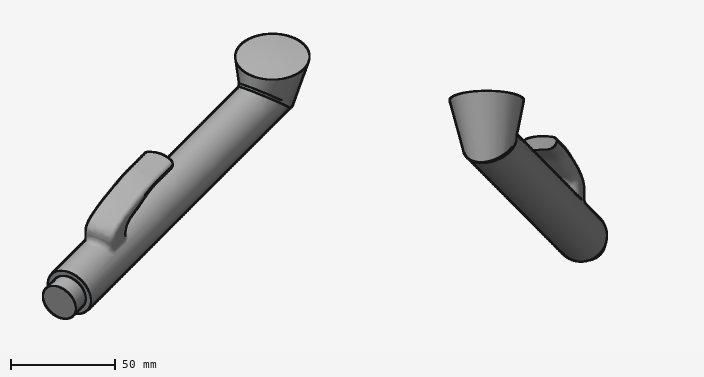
import cadquery as cq
import math

overall_length = 212.35

plug_radius = 18.63 / 2
plug_length = 9.1
bevel_end_radius = 24.4 / 2
bevel_length = 2.0
handle_radius = 24.8 / 2
handle_end_y = 75.6
tube_head_radius = 12.5

joint_y = 187.0
band_depth = 2.05
band_rise = 1.25
band_half_width = 12.8
rim_radius = 35.76 / 2
rim_y = overall_length - rim_radius
rim_z = 19.9
dome_height = 1.1

lever_top = 28.39
lever_half_width = 8.2
lever_crown = 0.7
lever_heel_y = 35.2
lever_heel_z = 15.8
lever_throat_y = 50.5
lever_throat_z = 12.5
lever_root_z = 4.0
back_slope_y = 58.7
back_slope_z = 26.7
back_shoulder_y = 41.6
back_shoulder_z = 22.8
under_bend_y = 56.5
under_bend_z = 17.7
under_slope_y = 66.6
under_slope_z = 20.5
lever_back_flat_y = 75.0
lever_under_flat_y = 78.0
tip_y = 93.0
tip_thickness = 6.2
tip_slant = 2.0
tip_bulge = 2.2
back_fillet = 2.0
under_fillet = 5.0
root_fillet = 2.65

tolerance = 0.01


def make_handle():
    """Round plug, bevelled end and tube, cut off by the 45 degree joint plane."""
    tube_end_y = joint_y + tube_head_radius
    handle = (
        cq.Workplane("XY")
        .lineTo(plug_radius, 0)
        .lineTo(plug_radius, plug_length)
        .lineTo(bevel_end_radius, plug_length)
        .lineTo(handle_radius, plug_length + bevel_length)
        .lineTo(handle_radius, handle_end_y)
        .lineTo(tube_head_radius, tube_end_y)
        .lineTo(0, tube_end_y)
        .close()
        .revolve(360, (0, 0, 0), (0, 1, 0))
    )
    reach = 2 * tube_head_radius
    beyond_joint = (
        cq.Workplane("YZ")
        .moveTo(joint_y - reach, reach)
        .lineTo(joint_y + reach, -reach)
        .lineTo(joint_y + reach, reach)
        .close()
        .extrude(reach, both=True)
    )
    return handle.cut(beyond_joint)


def tilted_ellipse(centre_y, centre_z, half_rise, half_width):
    """Ellipse on a 45 degree plane, its long axis down the slope and spanning +-half_rise in Z."""
    return cq.Wire.makeEllipse(
        half_rise * math.sqrt(2),
        half_width,
        cq.Vector(0, centre_y, centre_z),
        cq.Vector(0, 1, 1),
        cq.Vector(0, -1, 1),
        rotation_angle=0,
    )


def make_dome():
    """Shallow spherical cap closing the rim."""
    dome_radius = (rim_radius**2 + dome_height**2) / (2 * dome_height)
    return (
        cq.Workplane("XZ")
        .lineTo(rim_radius, 0)
        .radiusArc((0, dome_height), -dome_radius)
        .close()
        .revolve(360, (0, 0, 0), (0, 1, 0))
        .translate((0, rim_y, rim_z))
    )


def make_head():
    """Flared joint band, funnel body up to the round rim, and dome."""
    joint = tilted_ellipse(joint_y, 0, tube_head_radius, tube_head_radius)
    band_shift = band_rise / 2
    band_edge = tilted_ellipse(
        joint_y + band_depth - band_shift,
        band_shift,
        tube_head_radius + band_shift,
        band_half_width,
    )
    rim = cq.Wire.makeEllipse(
        rim_radius,
        rim_radius,
        cq.Vector(0, rim_y, rim_z),
        cq.Vector(0, 0, 1),
        cq.Vector(0, -1, 0),
        rotation_angle=0,
    )
    band = cq.Solid.makeLoft([joint, band_edge], True)
    funnel = cq.Solid.makeLoft([band_edge, rim], True)
    return cq.Workplane(band).union(cq.Workplane(funnel)).union(make_dome())


def lever_outline(x, crown, end_y):
    """Side outline of the lever at X = x, its back lowered by crown and its tip at Y = end_y."""
    back_z = lever_top - crown
    heel_y = lever_heel_y + crown
    under_z = lever_top - tip_thickness
    back_curve = [
        (back_slope_y, back_slope_z - crown),
        (back_shoulder_y + crown / 2, back_shoulder_z - crown),
        (heel_y, lever_heel_z - crown),
    ]
    under_curve = [
        (under_bend_y, under_bend_z),
        (under_slope_y, under_slope_z),
        (lever_under_flat_y, under_z),
    ]
    return (
        cq.Workplane("YZ", origin=(x, 0, 0))
        .moveTo(end_y, back_z)
        .lineTo(lever_back_flat_y, back_z)
        .spline(back_curve, tangents=[(-1, 0), (0, -1)], includeCurrent=True)
        .lineTo(heel_y, lever_root_z)
        .lineTo(lever_throat_y, lever_root_z)
        .lineTo(lever_throat_y, lever_throat_z)
        .spline(under_curve, tangents=[(0, 1), (1, 0)], includeCurrent=True)
        .lineTo(end_y - tip_slant, under_z)
        .close()
        .wires()
        .val()
    )


def side_edges(solid, wanted):
    """Edges on the two flat sides whose midpoint satisfies wanted."""
    edges = []
    for edge in solid.Edges():
        middle = edge.positionAt(0.5)
        if abs(abs(middle.x) - lever_half_width) < tolerance and wanted(middle):
            edges.append(edge)
    return edges


def is_under(point):
    """True on the throat and underside, from the root out to the lower tip edge."""
    under_z = lever_top - tip_thickness
    return point.y > lever_throat_y - tolerance and point.z < under_z + tolerance


def is_back(point):
    """True on the top and heel, leaving out the slanted tip corner and the buried root."""
    tip_corner_y = tip_y - tip_bulge - tip_slant / 2
    at_tip_corner = abs(point.y - tip_corner_y) < tolerance
    at_root = point.z < lever_root_z + tolerance
    return not (is_under(point) or at_tip_corner or at_root)


def make_lever():
    """Lever with a crowned back and rounded tip, its back and under edges rounded."""
    side_tip_y = tip_y - tip_bulge
    crowned = cq.Solid.makeLoft(
        [
            lever_outline(-lever_half_width, lever_crown, side_tip_y),
            lever_outline(0, 0, tip_y),
            lever_outline(lever_half_width, lever_crown, side_tip_y),
        ],
        False,
    )
    crowned = crowned.fillet(back_fillet, side_edges(crowned, is_back))

    bar_outline = lever_outline(-lever_half_width, 0, tip_y + tip_thickness)
    bar = cq.Solid.extrudeLinear(bar_outline, [], cq.Vector(2 * lever_half_width, 0, 0))
    bar = bar.fillet(under_fillet, side_edges(bar, is_under))
    return cq.Workplane(crowned).intersect(cq.Workplane(bar))


def is_root_edge(edge):
    """True for an edge lying on the handle surface around the foot of the lever."""
    for fraction in (0.1, 0.5, 0.9):
        point = edge.positionAt(fraction)
        on_handle = abs(math.hypot(point.x, point.z) - handle_radius) < tolerance
        in_foot = lever_heel_y - tolerance < point.y < lever_throat_y + tolerance
        if not (on_handle and in_foot and point.z > lever_root_z):
            return False
    return True


def join_lever(handle, lever):
    """Join the lever to the handle and blend its foot into the surface."""
    joined = handle.union(lever).solids().val()
    root_edges = [edge for edge in joined.Edges() if is_root_edge(edge)]
    return cq.Workplane(joined.fillet(root_fillet, root_edges))


result = join_lever(make_handle(), make_lever()).union(make_head())